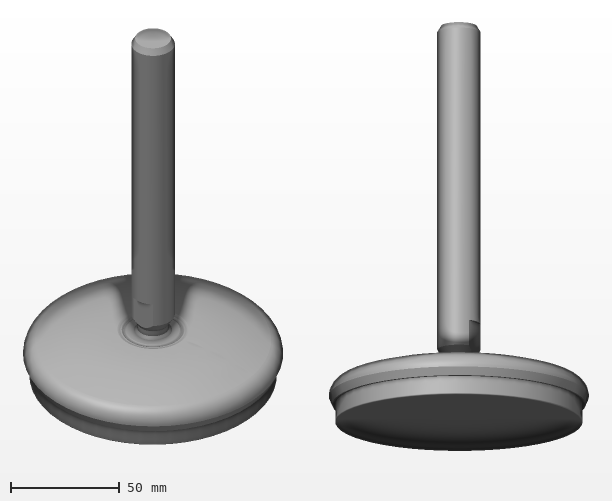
import cadquery as cq
import math

total_height = 187.7

pad_radius = 57.0
pad_height = 8.6
pad_edge_radius = 0.5

foot_radius = 120.0 / 2
foot_lower_radius = 58.4
rim_height = 12.4
rim_round_radius = 8.0
crown_height = 26.0
crown_edge_radius = 54.5
flat_top_radius = 32.8 / 2

seat_depth = 0.4
seat_radius = 15.2
groove_outer_radius = 14.5
groove_floor_outer_radius = 27.5 / 2
groove_floor_inner_radius = 26.5 / 2
groove_inner_radius = 12.4
groove_depth = 0.4

spindle_radius = 20.0 / 2
tip_radius = 8.3
tip_chamfer_height = 3.0
neck_radius = 7.3
flare_radius = 17.5 / 2
neck_bottom = 27.0
neck_top = 29.8
shoulder_height = 34.5
wrench_flat_width = 16.9
wrench_flat_top = 46.5

seat_height = crown_height - seat_depth


def make_pad():
    """Plain disc with a rounded lower edge."""
    pad = cq.Workplane("XY").circle(pad_radius).extrude(pad_height)
    return pad.faces("<Z").edges().fillet(pad_edge_radius)


def make_foot():
    """Revolved dome: undercut cone, rounded rim, crowned top and grooved seat."""
    rim_centre = foot_radius - rim_round_radius
    rim_end_angle = math.acos((crown_edge_radius - rim_centre) / rim_round_radius)
    crown_edge_height = rim_height + rim_round_radius * math.sin(rim_end_angle)
    rim_middle = (
        rim_centre + rim_round_radius * math.cos(rim_end_angle / 2),
        rim_height + rim_round_radius * math.sin(rim_end_angle / 2),
    )
    profile = (
        cq.Workplane("XZ")
        .moveTo(0, pad_height)
        .lineTo(foot_lower_radius, pad_height)
        .lineTo(foot_radius, rim_height)
        .threePointArc(rim_middle, (crown_edge_radius, crown_edge_height))
    )
    dome_run = crown_edge_radius - flat_top_radius
    dome_drop = crown_height - crown_edge_height
    dome_radius = (dome_run**2 + dome_drop**2) / (2 * dome_drop)
    half_angle = math.asin(dome_run / dome_radius) / 2
    dome_middle = (
        flat_top_radius + dome_radius * math.sin(half_angle),
        crown_height - dome_radius * (1 - math.cos(half_angle)),
    )
    groove_floor = seat_height - groove_depth
    profile = (
        profile.threePointArc(dome_middle, (flat_top_radius, crown_height))
        .lineTo(seat_radius, seat_height)
        .lineTo(groove_outer_radius, seat_height)
        .lineTo(groove_floor_outer_radius, groove_floor)
        .lineTo(groove_floor_inner_radius, groove_floor)
        .lineTo(groove_inner_radius, seat_height)
        .lineTo(0, seat_height)
        .close()
    )
    return profile.revolve(360, (0, 0, 0), (0, 1, 0))


def make_spindle():
    """Stud with a chamfered tip, a necked lower end and two wrench flats."""
    spindle = (
        cq.Workplane("XZ")
        .moveTo(0, seat_height)
        .lineTo(flare_radius, seat_height)
        .lineTo(neck_radius, neck_bottom)
        .lineTo(neck_radius, neck_top)
        .lineTo(spindle_radius, shoulder_height)
        .lineTo(spindle_radius, total_height - tip_chamfer_height)
        .lineTo(tip_radius, total_height)
        .lineTo(0, total_height)
        .close()
        .revolve(360, (0, 0, 0), (0, 1, 0))
    )
    for side in (-1, 1):
        flat_cut = (
            cq.Workplane("XY", origin=(0, side * wrench_flat_width, neck_top))
            .rect(2 * spindle_radius, wrench_flat_width)
            .extrude(wrench_flat_top - neck_top)
        )
        spindle = spindle.cut(flat_cut)
    return spindle


pad = make_pad()
foot = make_foot()
spindle = make_spindle()

result = cq.Compound.makeCompound([pad.val(), foot.val(), spindle.val()])